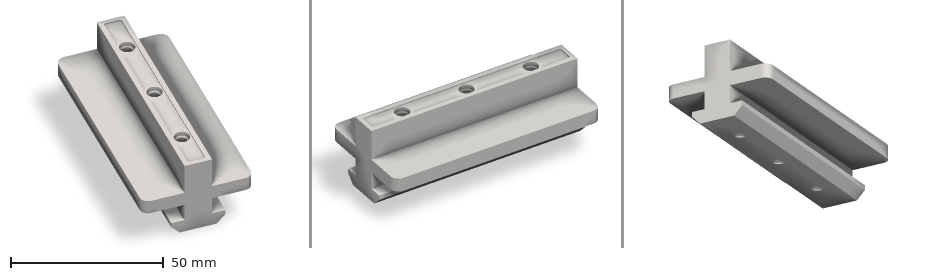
import cadquery as cq

length = 80.0
height = 27.6

stem_width = 9.7

flange_width = 39.0
flange_thickness = 5.1
flange_corner_radius = 3.0
stem_above_flange = 11.3

foot_width = 19.0
foot_height = 4.8
foot_bevel_width = 3.0
foot_bevel_height = 3.1

recess_end_margin = 1.5
recess_width = 6.2
recess_depth = 0.5
recess_corner_radius = 0.8

hole_diameter = 3.5
counterbore_diameter = 5.4
counterbore_depth = 1.5
hole_count = 3
hole_pitch = 25.0

flange_bottom = height - stem_above_flange - flange_thickness
recess_floor = height - recess_depth


def make_stem():
    return cq.Workplane("XY").box(length, stem_width, height, centered=(True, True, False))


def rounded_plate(plate_length, plate_width, thickness, corner_radius, bottom):
    """Plate centred on the Z axis, with rounded vertical edges, starting at height bottom."""
    plate = cq.Workplane("XY").box(plate_length, plate_width, thickness, centered=(True, True, False))
    return plate.edges("|Z").fillet(corner_radius).translate((0, 0, bottom))


def make_foot():
    half_width = foot_width / 2
    half_base = half_width - foot_bevel_width
    outline = [
        (-half_base, 0),
        (half_base, 0),
        (half_width, foot_bevel_height),
        (half_width, foot_height),
        (-half_width, foot_height),
        (-half_width, foot_bevel_height),
    ]
    return cq.Workplane("YZ").polyline(outline).close().extrude(length / 2, both=True)


def cut_screw_holes(body):
    return (
        body.copyWorkplane(cq.Workplane("XY", origin=(0, 0, recess_floor)))
        .rarray(hole_pitch, 1, hole_count, 1)
        .cboreHole(hole_diameter, counterbore_diameter, counterbore_depth)
    )


flange = rounded_plate(length, flange_width, flange_thickness, flange_corner_radius, flange_bottom)
recess = rounded_plate(
    length - 2 * recess_end_margin, recess_width, recess_depth, recess_corner_radius, recess_floor
)

body = make_stem().union(flange).union(make_foot()).cut(recess)
result = cut_screw_holes(body)